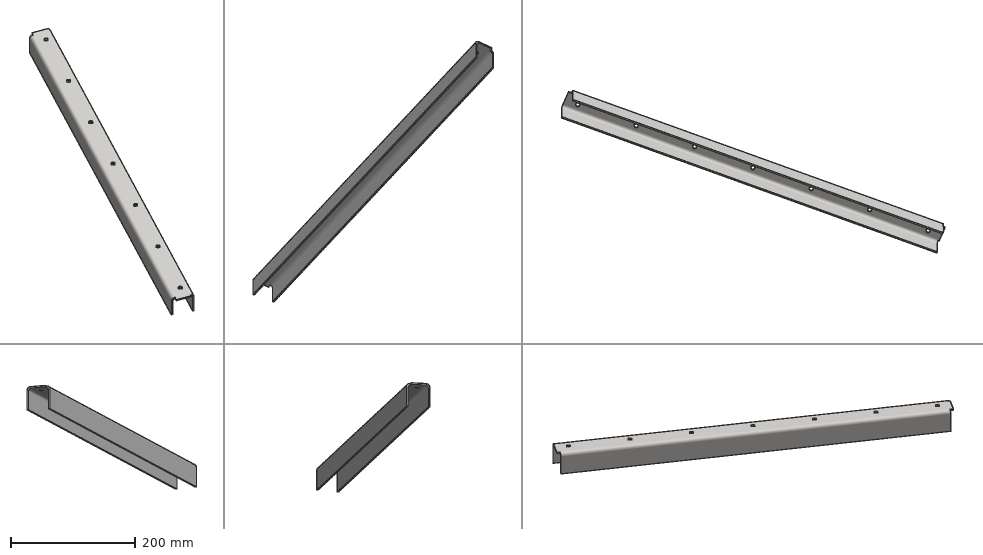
import cadquery as cq

length = 654.0
width = 38.0
height = 38.0
sheet = 2.5
bend_radius = 6.0
inner_bend_radius = 5.0

front_setback_left = 5.0
front_setback_right = 6.0
back_setback_right = 2.0
front_notch_depth = 6.5

hole_diameter = 6.5
hole_count = 7
hole_pitch = 101.5
first_hole_x = 22.0
hole_from_back = 16.0

web_underside = height - sheet
bend_bottom = height - bend_radius


def channel():
    """Downward-open channel of bent sheet, running along X."""
    outer = cq.Workplane("XY").box(length, width, height, centered=False)
    outer = outer.edges("|X and >Z").fillet(bend_radius)
    inner = (
        cq.Workplane("XY")
        .box(length, width - 2 * sheet, web_underside, centered=False)
        .translate((0, sheet, 0))
        .edges("|X and >Z")
        .fillet(inner_bend_radius)
    )
    return outer.cut(inner)


def end_cut(x_start, y_start, x_size, y_size):
    """Full-height block that trims one end of a flange and its bend."""
    block = cq.Workplane("XY").box(x_size, y_size, height, centered=False)
    return block.translate((x_start, y_start, 0))


def web_holes():
    """Row of round cutters passing through the web."""
    centers = [
        (first_hole_x + i * hole_pitch, width - hole_from_back)
        for i in range(hole_count)
    ]
    return (
        cq.Workplane("XY", origin=(0, 0, bend_bottom))
        .pushPoints(centers)
        .circle(hole_diameter / 2)
        .extrude(bend_radius)
    )


result = (
    channel()
    .cut(end_cut(0, 0, front_setback_left, front_notch_depth))
    .cut(end_cut(length - front_setback_right, 0, front_setback_right, front_notch_depth))
    .cut(end_cut(length - back_setback_right, width - bend_radius, back_setback_right, bend_radius))
    .cut(web_holes())
)